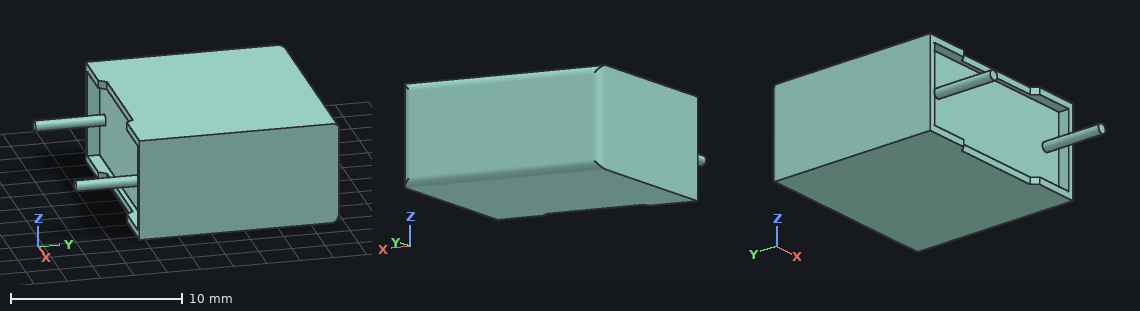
import cadquery as cq

CASE_WIDTH = 13.2
CASE_HEIGHT = 6.21
OVERALL_LENGTH = 15.6
LEAD_PROTRUSION = 3.48
CASE_LENGTH = OVERALL_LENGTH - LEAD_PROTRUSION

SIDE_WALL = 0.4
FLAT_WALL = 0.47
BACK_WALL = FLAT_WALL
BACK_FILLET = 0.55

NOTCH_OPENING = 7.0
NOTCH_FLOOR = 6.3
NOTCH_DEPTH = 0.44

FILL_RECESS = 0.75
LEAD_DIAMETER = 0.65
LEAD_PITCH = 10.0

CAVITY_WIDTH = CASE_WIDTH - 2 * SIDE_WALL
CAVITY_HEIGHT = CASE_HEIGHT - 2 * FLAT_WALL
CAVITY_DEPTH = CASE_LENGTH - BACK_WALL
FILL_LENGTH = CAVITY_DEPTH - FILL_RECESS


def block(width, length, height, front_y):
    """Box centred on X and Z, running from front_y toward +Y."""
    return cq.Workplane("XY").box(width, length, height, centered=(True, False, True)).translate((0, front_y, 0))


def make_notch():
    """Trapezoidal prism that relieves both broad walls at the open end."""
    outline = [
        (-NOTCH_OPENING / 2, 0),
        (NOTCH_OPENING / 2, 0),
        (NOTCH_FLOOR / 2, NOTCH_DEPTH),
        (-NOTCH_FLOOR / 2, NOTCH_DEPTH),
    ]
    return cq.Workplane("XY").polyline(outline).close().extrude(CASE_HEIGHT / 2, both=True)


def make_case():
    """Open box with rounded back edges and a notched rim at Y = 0."""
    shell = block(CASE_WIDTH, CASE_LENGTH, CASE_HEIGHT, 0).faces(">Y").edges().fillet(BACK_FILLET)
    cavity = block(CAVITY_WIDTH, CAVITY_DEPTH, CAVITY_HEIGHT, 0)
    return shell.cut(cavity).cut(make_notch())


def make_fill():
    """Potting that fills the cavity up to a recess behind the rim."""
    return block(CAVITY_WIDTH, FILL_LENGTH, CAVITY_HEIGHT, FILL_RECESS)


def make_lead(x):
    """Round lead that starts on the face of the fill and runs toward -Y."""
    face = cq.Workplane("XZ", origin=(x, FILL_RECESS, 0))
    return face.circle(LEAD_DIAMETER / 2).extrude(FILL_RECESS + LEAD_PROTRUSION)


case = make_case()
fill = make_fill()
leads = [make_lead(side * LEAD_PITCH / 2) for side in (-1, 1)]

result = cq.Compound.makeCompound([case.val(), fill.val(), *[lead.val() for lead in leads]])